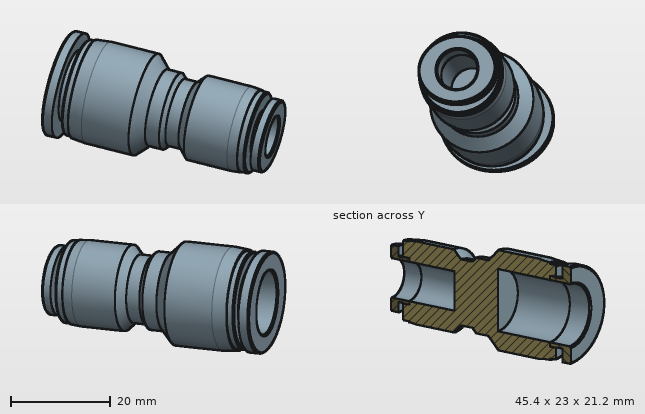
import cadquery as cq


TOTAL_LENGTH = 45.4
EDGE_CHAMFER = 0.3

LARGE_FLANGE_WIDTH = 23.0
LARGE_FLANGE_HEIGHT = 20.5
LARGE_FLANGE_THICKNESS = 2.2
LARGE_NECK_DIAMETER = 14.8
LARGE_BORE_DIAMETER = 13.0
LARGE_GAP = 1.5
LARGE_COLLAR_DIAMETER = 20.0
LARGE_COLLAR_LENGTH = 1.5
LARGE_TAPER_DIAMETER = 20.6
LARGE_TAPER_LENGTH = 3.0
LARGE_BODY_DIAMETER = 21.2
LARGE_BODY_LENGTH = 10.1

SMALL_FLANGE_WIDTH = 16.0
SMALL_FLANGE_HEIGHT = 14.0
SMALL_FLANGE_THICKNESS = 1.9
SMALL_NECK_DIAMETER = 9.7
SMALL_BORE_DIAMETER = 8.2
SMALL_GAP = 1.1
SMALL_COLLAR_DIAMETER = 16.9
SMALL_COLLAR_LENGTH = 1.6
SMALL_TAPER_DIAMETER = 17.2
SMALL_TAPER_LENGTH = 2.1
SMALL_BODY_DIAMETER = 17.6
SMALL_BODY_LENGTH = 9.2

WAIST_DIAMETER = 16.0
WAIST_LENGTH = 3.0
GROOVE_DIAMETER = 14.0

large_front = LARGE_FLANGE_THICKNESS + LARGE_GAP
large_collar_end = large_front + LARGE_COLLAR_LENGTH
large_taper_end = large_collar_end + LARGE_TAPER_LENGTH
large_body_end = large_taper_end + LARGE_BODY_LENGTH
waist_start = large_body_end + (LARGE_BODY_DIAMETER - WAIST_DIAMETER) / 2
waist_end = waist_start + WAIST_LENGTH
groove_start = waist_end + (WAIST_DIAMETER - GROOVE_DIAMETER) / 2
small_front = TOTAL_LENGTH - SMALL_FLANGE_THICKNESS - SMALL_GAP
small_collar_end = small_front - SMALL_COLLAR_LENGTH
small_taper_end = small_collar_end - SMALL_TAPER_LENGTH
small_body_end = small_taper_end - SMALL_BODY_LENGTH
groove_end = small_body_end - (SMALL_BODY_DIAMETER - GROOVE_DIAMETER) / 2


def cylinder(x_start, x_end, diameter):
    """Solid cylinder on the X axis."""
    plane = cq.Workplane("YZ", origin=(x_start, 0, 0))
    return plane.circle(diameter / 2).extrude(x_end - x_start)


def make_housing():
    """Turned body with a blind tube socket and a sleeve recess at each end."""
    profile = [
        (large_front, LARGE_COLLAR_DIAMETER - 2 * EDGE_CHAMFER),
        (large_front + EDGE_CHAMFER, LARGE_COLLAR_DIAMETER),
        (large_collar_end, LARGE_COLLAR_DIAMETER),
        (large_collar_end, LARGE_TAPER_DIAMETER),
        (large_taper_end, LARGE_BODY_DIAMETER),
        (large_body_end, LARGE_BODY_DIAMETER),
        (waist_start, WAIST_DIAMETER),
        (waist_end, WAIST_DIAMETER),
        (groove_start, GROOVE_DIAMETER),
        (groove_end, GROOVE_DIAMETER),
        (small_body_end, SMALL_BODY_DIAMETER),
        (small_taper_end, SMALL_BODY_DIAMETER),
        (small_collar_end, SMALL_TAPER_DIAMETER),
        (small_collar_end, SMALL_COLLAR_DIAMETER),
        (small_front - EDGE_CHAMFER, SMALL_COLLAR_DIAMETER),
        (small_front, SMALL_COLLAR_DIAMETER - 2 * EDGE_CHAMFER),
    ]
    outline = cq.Workplane("XY").moveTo(large_front, 0)
    for x, diameter in profile:
        outline = outline.lineTo(x, diameter / 2)
    body = outline.lineTo(small_front, 0).close().revolve(360, (0, 0, 0), (1, 0, 0))

    body = body.cut(cylinder(large_front, large_body_end, LARGE_BORE_DIAMETER))
    body = body.cut(cylinder(small_body_end, small_front, SMALL_BORE_DIAMETER))

    body = body.cut(cylinder(large_front, large_collar_end, LARGE_NECK_DIAMETER))
    return body.cut(cylinder(small_collar_end, small_front, SMALL_NECK_DIAMETER))


def make_sleeve(width, height, thickness, neck_diameter, neck_length, bore_diameter):
    """Release sleeve with an oval flange, its outer face at X = 0 and its neck toward +X."""
    flange = cq.Workplane("YZ").ellipse(width / 2, height / 2).extrude(thickness)
    flange = flange.faces("<X").edges().chamfer(EDGE_CHAMFER)
    sleeve = flange.union(cylinder(thickness, thickness + neck_length, neck_diameter))
    sleeve = sleeve.cut(cylinder(0, thickness + neck_length, bore_diameter))
    return sleeve.faces("<X").edges("%CIRCLE").chamfer(EDGE_CHAMFER)


housing = make_housing()

large_sleeve = make_sleeve(
    LARGE_FLANGE_WIDTH,
    LARGE_FLANGE_HEIGHT,
    LARGE_FLANGE_THICKNESS,
    LARGE_NECK_DIAMETER,
    LARGE_GAP + LARGE_COLLAR_LENGTH,
    LARGE_BORE_DIAMETER,
)

small_sleeve = make_sleeve(
    SMALL_FLANGE_WIDTH,
    SMALL_FLANGE_HEIGHT,
    SMALL_FLANGE_THICKNESS,
    SMALL_NECK_DIAMETER,
    SMALL_GAP + SMALL_COLLAR_LENGTH,
    SMALL_BORE_DIAMETER,
)
small_sleeve = small_sleeve.rotate((0, 0, 0), (0, 0, 1), 180).translate((TOTAL_LENGTH, 0, 0))

result = cq.Compound.makeCompound([housing.val(), large_sleeve.val(), small_sleeve.val()])